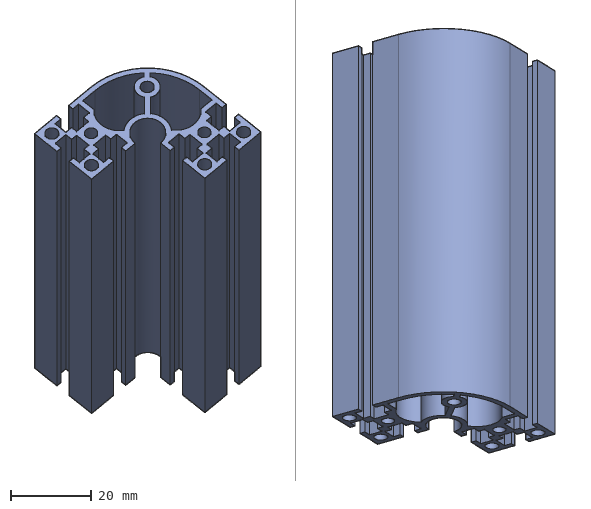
import cadquery as cq


length = 100.0
cell = 20.0
wall = 1.5
inner_wall = 1.5
core = 6.0
slot_opening = 4.3
slot_width = 8.4
slot_shoulder = 4.75
bore_radius = 4.5
ring_radius = 6.0
bulge_radius = 6.35
boss_diameter = 6.5
rib_width = 1.5
core_hole_diameter = 3.3
screw_hole_diameter = 3.5
corner_hole_inset = 3.05

half_cell = cell / 2
shell_inner_radius = cell - wall
cavity_edge = half_cell - slot_width / 2 - inner_wall
symmetry_normal = (1, 1, 0)


def block(x_min, x_max, y_min, y_max):
    """Full-length box between the given X and Y limits."""
    size_x = x_max - x_min
    size_y = y_max - y_min
    return cq.Workplane("XY").box(size_x, size_y, length, centered=False).translate((x_min, y_min, 0))


def rod(x, y, radius):
    """Full-length cylinder centred at (x, y)."""
    return cq.Workplane("XY").center(x, y).circle(radius).extrude(length)


def with_mirror(body):
    """The body together with its reflection in the plane y = -x."""
    return body.union(body.mirror(symmetry_normal))


def outer_body():
    """Solid envelope: quarter disc plus the two square cells."""
    quarter_disc = rod(0, 0, cell).intersect(block(-cell, 0, 0, cell))
    return quarter_disc.union(with_mirror(block(0, cell, 0, cell)))


def slots():
    """T-slots in the three free faces of each cell."""
    opening = block(-slot_opening / 2, slot_opening / 2, core / 2, half_cell)
    pocket = block(-slot_width / 2, slot_width / 2, slot_shoulder, half_cell - wall)
    slot = opening.union(pocket)
    cell_slots = slot
    for angle in (-90, 180):
        cell_slots = cell_slots.union(slot.rotate((0, 0, 0), (0, 0, 1), angle))
    return with_mirror(cell_slots.translate((half_cell, half_cell, 0)))


def cavity():
    """Hollow inside the shell, left open around the ring, boss and rib."""
    quarter_disc = rod(0, 0, shell_inner_radius).intersect(block(-cell, 0, 0, cell))
    side_bay = block(0, cavity_edge, half_cell, shell_inner_radius)
    round_bay = rod(0, half_cell, bulge_radius)
    hollow = quarter_disc.union(with_mirror(side_bay.union(round_bay)))
    rib = block(-cell, 0, -rib_width / 2, rib_width / 2).rotate((0, 0, 0), (0, 0, 1), -45)
    boss = rod(-half_cell, half_cell, boss_diameter / 2)
    ring = rod(0, 0, ring_radius)
    return hollow.cut(ring).cut(boss).cut(rib)


def holes():
    """Round holes through the cell cores, the outer cell corners and the boss."""
    cell_holes = rod(half_cell, half_cell, core_hole_diameter / 2)
    corner_x = cell - corner_hole_inset
    for corner_y in (corner_hole_inset, cell - corner_hole_inset):
        cell_holes = cell_holes.union(rod(corner_x, corner_y, screw_hole_diameter / 2))
    return with_mirror(cell_holes).union(rod(-half_cell, half_cell, screw_hole_diameter / 2))


result = outer_body().cut(cavity()).cut(slots()).cut(rod(0, 0, bore_radius)).cut(holes())